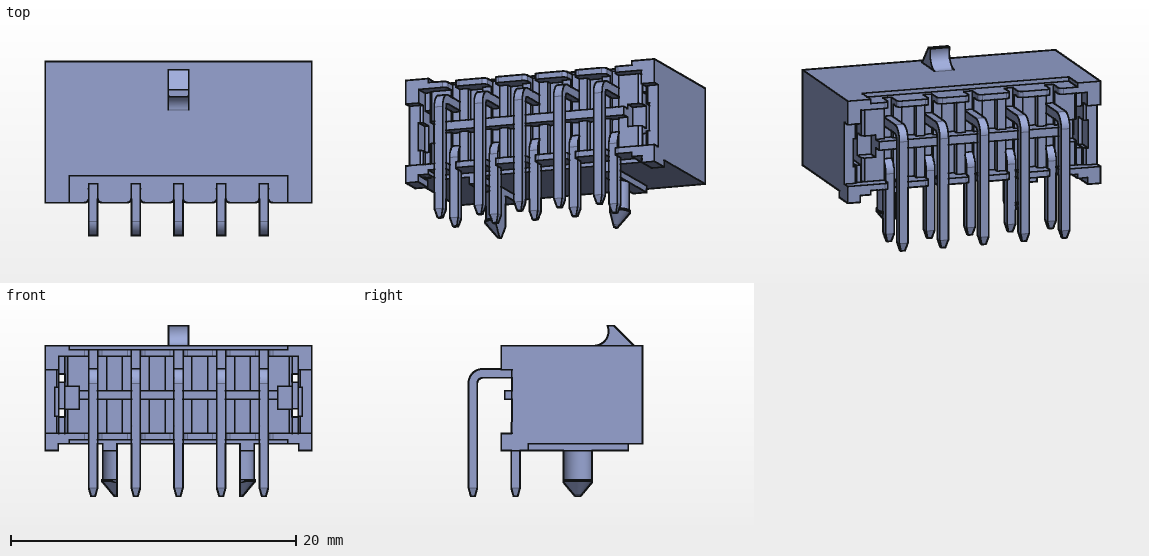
import cadquery as cq
import math


width = 18.7
depth = 9.91
housing_top = 7.37
housing_bottom = 0.49
half_width = width / 2

pin_columns = 5
pin_pitch = 3.0
pin_size = 0.64
pin_tip_size = 0.3
pin_tip_length = 0.6
pin_bottom = -3.2
pin_bend_inner = 0.37
pin_bend_outer = pin_bend_inner + pin_size
pin_embed_y = 2.25
upper_pin_front = -2.3
upper_pin_top = 5.75
lower_pin_front = upper_pin_front + pin_pitch
lower_pin_top = upper_pin_top - pin_pitch
pin_xs = [(i - (pin_columns - 1) / 2) * pin_pitch for i in range(pin_columns)]

cavity_half_width = 8.38
cavity_floor = 1.22
cavity_ceiling = 6.64
block_face = 1.0
gap_width = 1.1
gap_back = 1.51
slot_back = lower_pin_front + pin_size
slot_mouth_radius = 0.3
shelf_half_width = 6.95
shelf_front = 0.25
shelf_bottom = 3.59
shelf_top = 4.2

recess_half_width = 7.65
recess_depth = 0.3
recess_back = 1.9

side_notch_back = 0.75
side_notch_top = 5.67
slit_inner = 7.97
slit_back = 1.27
slit_deep_back = 3.0
slit_inner_lead = 0.2
slit_outer_lead = 0.17
window_height = 0.56
window_bottoms = (2.37, 4.8)
pocket_back = 1.98
pocket_bottom = 2.92
pocket_top = 4.5
wall_pocket_x = 8.68
wall_pocket_bottom = 2.43
wall_pocket_top = 4.43

foot_width = 0.94
rail_back = 8.92
peg_flat_x = 4.3
peg_radius = 1.01
peg_y = 5.37
barb_radius = 1.08
barb_top = -2.02
barb_bottom = -2.13
peg_tip_radius = 0.19
peg_tip_edge_radius = 0.32
peg_tip_edge_z = -3.05

latch_width = 1.42
latch_top = 8.77
latch_ramp_start = 9.31
latch_ramp_end = 7.91
latch_hook_radius = 1.01
latch_hook_y = 6.5


def block(x0, x1, y0, y1, z0, z1):
    """Box between two opposite corners."""
    return cq.Workplane("XY").box(x1 - x0, y1 - y0, z1 - z0, centered=False).translate((x0, y0, z0))


def prism(points, z0, z1):
    """Plan outline raised from z0 to z1."""
    return cq.Workplane("XY").workplane(offset=z0).polyline(points).close().extrude(z1 - z0)


def both_ends(shape):
    """The shape together with its mirror image across the middle plane."""
    return shape.union(shape.mirror("YZ"))


def plate_slot(x, z0, z1):
    """Pin slot through a lip, with a rounded mouth at the front edge."""
    half = pin_size / 2
    r = slot_mouth_radius
    bulge = r * math.sqrt(0.5)
    return (
        cq.Workplane("XY")
        .workplane(offset=z0)
        .moveTo(x - half - r, 0)
        .threePointArc((x - half - r + bulge, r - bulge), (x - half, r))
        .lineTo(x - half, slot_back)
        .lineTo(x + half, slot_back)
        .lineTo(x + half, r)
        .threePointArc((x + half + r - bulge, r - bulge), (x + half + r, 0))
        .close()
        .extrude(z1 - z0)
    )


def housing_shell():
    """Outer block with the recesses, side notches, feet and rails."""
    body = block(-half_width, half_width, 0, depth, housing_bottom, housing_top)
    for z0 in (housing_bottom, housing_top - recess_depth):
        body = body.cut(block(-recess_half_width, recess_half_width, 0, recess_back, z0, z0 + recess_depth))
    body = body.cut(block(-half_width, half_width, 0, side_notch_back, cavity_floor, side_notch_top))
    foot = block(half_width - foot_width, half_width, 0, recess_back, 0, housing_bottom)
    rail = block(peg_flat_x, peg_flat_x + peg_radius, recess_back, rail_back, 0, housing_bottom)
    return body.union(both_ends(foot)).union(both_ends(rail))


def cut_cavity(body):
    """Open the pin side, leaving the pin blocks and the shelf between the two rows."""
    cavity = block(-cavity_half_width, cavity_half_width, 0, block_face, cavity_floor, cavity_ceiling)
    for x in pin_xs[:-1]:
        gap_x = x + pin_pitch / 2
        cavity = cavity.union(
            block(gap_x - gap_width / 2, gap_x + gap_width / 2, 0, gap_back, cavity_floor, cavity_ceiling)
        )
    for x in pin_xs:
        cavity = cavity.union(
            block(x - pin_size / 2, x + pin_size / 2, 0, slot_back, cavity_floor, cavity_ceiling)
        )
    shelf = block(-shelf_half_width, shelf_half_width, shelf_front, pocket_back, shelf_bottom, shelf_top)
    body = body.cut(cavity).union(shelf)
    for x in pin_xs:
        body = body.cut(plate_slot(x, housing_bottom, cavity_floor))
        body = body.cut(plate_slot(x, cavity_ceiling, housing_top))
    return body


def end_slit():
    """Slit with flared mouth, its exit through the floor, its pockets and its two through windows."""
    outline = [
        (slit_inner, slit_back),
        (slit_inner, block_face + slit_inner_lead),
        (slit_inner - slit_inner_lead, block_face),
        (slit_inner - slit_inner_lead, side_notch_back),
        (cavity_half_width, side_notch_back),
        (cavity_half_width, slit_back),
    ]
    wall_lead = [
        (cavity_half_width, side_notch_back),
        (cavity_half_width + slit_outer_lead, side_notch_back),
        (cavity_half_width, side_notch_back + slit_outer_lead),
    ]
    slit = prism(outline, cavity_floor, cavity_ceiling)
    slit = slit.union(prism(wall_lead, cavity_floor, side_notch_top))
    slit = slit.union(
        block(shelf_half_width, slit_inner, block_face, pocket_back, pocket_bottom, pocket_top)
    )
    slit = slit.union(
        block(slit_inner, wall_pocket_x, side_notch_back, pocket_back, wall_pocket_bottom, wall_pocket_top)
    )
    slit = slit.union(
        block(slit_inner, cavity_half_width, block_face, slit_back, housing_bottom, cavity_floor)
    )
    window_top = window_bottoms[-1] + window_height
    slit = slit.union(
        block(slit_inner, cavity_half_width, block_face, slit_deep_back, window_bottoms[0], window_top)
    )
    for z0 in window_bottoms:
        slit = slit.union(
            block(slit_inner, cavity_half_width, side_notch_back, depth, z0, z0 + window_height)
        )
    return slit


def latch():
    """Ramp on the top face with a concave hook toward the pin side."""
    hook_z = housing_top + latch_hook_radius
    top_rise = latch_top - hook_z
    top_y = latch_hook_y + math.sqrt(latch_hook_radius**2 - top_rise**2)
    hook_mid = latch_hook_radius * math.sqrt(0.5)
    return (
        cq.Workplane("YZ")
        .moveTo(latch_hook_y, housing_top)
        .threePointArc((latch_hook_y + hook_mid, hook_z - hook_mid), (top_y, latch_top))
        .lineTo(latch_ramp_end, latch_top)
        .lineTo(latch_ramp_start, housing_top)
        .close()
        .extrude(latch_width / 2, both=True)
    )


def peg():
    """Half-round board peg with a barbed conical tip, flat on its inner side."""
    turned = (
        cq.Workplane("XZ")
        .moveTo(0, 0)
        .lineTo(peg_radius, 0)
        .lineTo(peg_radius, barb_top)
        .lineTo(barb_radius, barb_top)
        .lineTo(barb_radius, barb_bottom)
        .lineTo(peg_tip_edge_radius, peg_tip_edge_z)
        .lineTo(peg_tip_radius, pin_bottom)
        .lineTo(0, pin_bottom)
        .close()
        .revolve(360, (0, 0, 0), (0, 1, 0))
    )
    kept_half = block(0, barb_radius, -peg_radius, peg_radius, pin_bottom, 0)
    return turned.intersect(kept_half).translate((peg_flat_x, peg_y, 0))


def pin(x, front, top):
    """Bent square pin with a tapered tip, its leg passing through the board."""
    back = front + pin_size
    bend_y = front + pin_bend_outer
    bend_z = top - pin_bend_outer
    shoulder = pin_bottom + pin_tip_length
    outer = pin_bend_outer * math.sqrt(0.5)
    inner = pin_bend_inner * math.sqrt(0.5)
    shank = (
        cq.Workplane("YZ")
        .moveTo(front, shoulder)
        .lineTo(front, bend_z)
        .threePointArc((bend_y - outer, bend_z + outer), (bend_y, top))
        .lineTo(pin_embed_y, top)
        .lineTo(pin_embed_y, top - pin_size)
        .lineTo(bend_y, top - pin_size)
        .threePointArc((bend_y - inner, bend_z + inner), (back, bend_z))
        .lineTo(back, shoulder)
        .close()
        .extrude(pin_size / 2, both=True)
    )
    tip = (
        cq.Workplane("XY")
        .workplane(offset=pin_bottom)
        .center(0, front + pin_size / 2)
        .rect(pin_tip_size, pin_tip_size)
        .workplane(offset=pin_tip_length)
        .rect(pin_size, pin_size)
        .loft()
    )
    return shank.union(tip).translate((x, 0, 0))


result = cut_cavity(housing_shell())
result = result.cut(both_ends(end_slit()))
result = result.union(latch()).union(both_ends(peg()))
for pin_x in pin_xs:
    result = result.union(pin(pin_x, upper_pin_front, upper_pin_top))
    result = result.union(pin(pin_x, lower_pin_front, lower_pin_top))